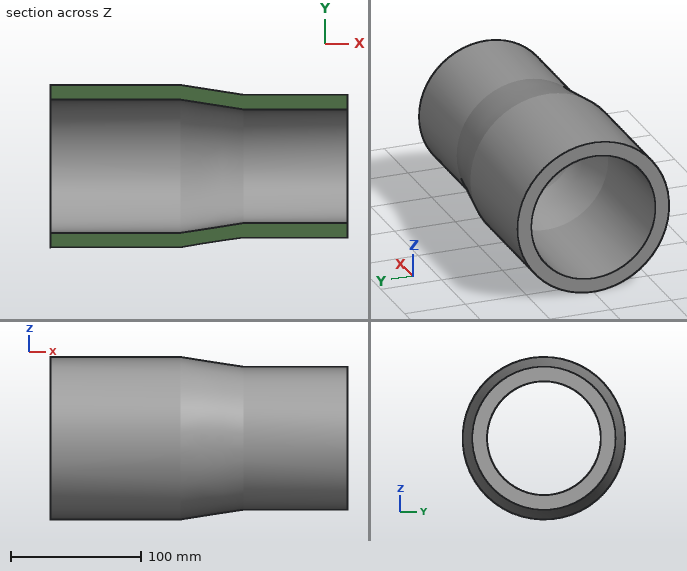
import cadquery as cq

total_length = 228.0
large_end_length = 99.6
small_end_length = 80.0

large_outer_diameter = 125.0
large_bore_diameter = 102.1
small_outer_diameter = 110.0
small_bore_diameter = 87.0

taper_start = large_end_length
taper_end = total_length - small_end_length


def reducer_body(large_diameter, small_diameter):
    """Solid of revolution about X: large cylinder, cone, small cylinder."""
    large_radius = large_diameter / 2
    small_radius = small_diameter / 2
    return (
        cq.Workplane("XY")
        .lineTo(0, large_radius)
        .lineTo(taper_start, large_radius)
        .lineTo(taper_end, small_radius)
        .lineTo(total_length, small_radius)
        .lineTo(total_length, 0)
        .close()
        .revolve(360, (0, 0, 0), (1, 0, 0))
    )


outside = reducer_body(large_outer_diameter, small_outer_diameter)
bore = reducer_body(large_bore_diameter, small_bore_diameter)
result = outside.cut(bore)